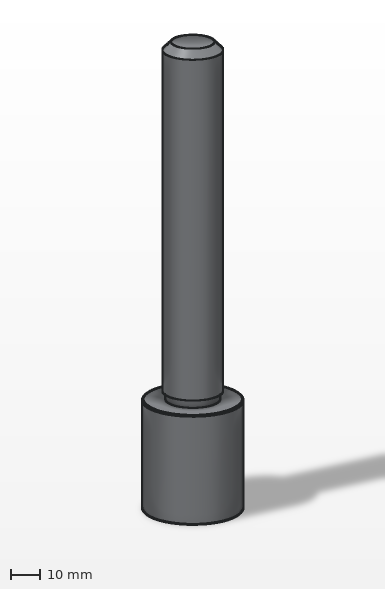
import cadquery as cq

total_length = 170.0
head_diameter = 35.0
head_height = 40.0
head_chamfer = 0.5

shank_diameter = 21.0
tip_chamfer = 3.0
neck_diameter = 19.0
neck_height = 3.0


def make_cylinder(diameter, bottom, height):
    """Vertical cylinder on the Z axis, starting at the given level."""
    return cq.Workplane("XY").workplane(offset=bottom).circle(diameter / 2).extrude(height)


def make_head():
    """Cylindrical head with both rims broken by a small chamfer."""
    head = make_cylinder(head_diameter, 0, head_height)
    return head.faces("<Z or >Z").edges().chamfer(head_chamfer)


def make_neck():
    """Narrow relief between the head and the shank."""
    return make_cylinder(neck_diameter, head_height, neck_height)


def make_shank():
    """Long shank with a conical lead-in at its free end."""
    shank_bottom = head_height + neck_height
    shank = make_cylinder(shank_diameter, shank_bottom, total_length - shank_bottom)
    return shank.faces(">Z").edges().chamfer(tip_chamfer)


result = make_head().union(make_neck()).union(make_shank())